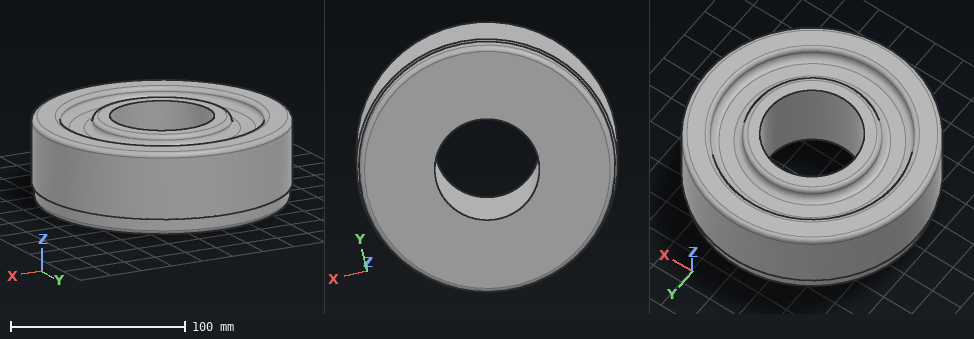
import cadquery as cq
import math

outer_radius = 75.0
height = 50.0
bore_radius = 30.0
edge_fillet = 3.0

step_inset = 1.5
step_height = 10.0

groove_inner_radius = 37.0
groove_outer_radius = 61.5
groove_depth = 7.0
lip_radius = 3.0
floor_radius = 5.0


def make_body():
    """Bored disc with a stepped, rounded rim."""
    step = cq.Workplane("XY").circle(outer_radius - step_inset).extrude(step_height)
    step = step.faces("<Z").edges().fillet(edge_fillet)
    rim = cq.Workplane("XY").workplane(offset=step_height)
    rim = rim.circle(outer_radius).extrude(height - step_height)
    rim = rim.faces(">Z").edges().fillet(edge_fillet)
    bore = cq.Workplane("XY").circle(bore_radius).extrude(height)
    return step.union(rim).cut(bore)


def make_groove():
    """Solid of the groove, whose walls are a lip arc tangent to a floor arc."""
    turn = math.acos(1 - groove_depth / (lip_radius + floor_radius))

    def arc_offsets(radius, angle):
        """Radial and vertical travel along an arc from its level end."""
        return radius * math.sin(angle), radius * (1 - math.cos(angle))

    def wall_points(edge_radius, direction):
        """Wall points from the top edge to the floor; direction points into the groove."""
        wall_run = (lip_radius + floor_radius) * math.sin(turn)
        points = []
        for angle in (0, turn / 2, turn):
            run, drop = arc_offsets(lip_radius, angle)
            points.append((edge_radius + direction * run, height - drop))
        for angle in (turn / 2, 0):
            run, rise = arc_offsets(floor_radius, angle)
            radius = edge_radius + direction * (wall_run - run)
            points.append((radius, height - groove_depth + rise))
        return points

    inner = wall_points(groove_inner_radius, 1)
    outer = wall_points(groove_outer_radius, -1)
    outer.reverse()
    profile = (
        cq.Workplane("XZ")
        .moveTo(*inner[0])
        .threePointArc(inner[1], inner[2])
        .threePointArc(inner[3], inner[4])
        .lineTo(*outer[0])
        .threePointArc(outer[1], outer[2])
        .threePointArc(outer[3], outer[4])
        .close()
    )
    return profile.revolve(360, (0, 0, 0), (0, 1, 0))


result = make_body().cut(make_groove())